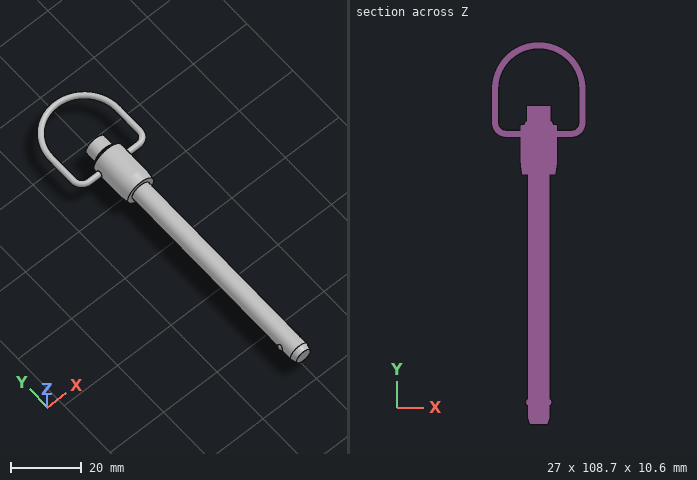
import cadquery as cq
import math

length = 108.7
ring_width = 27.0
wire_diameter = 2.2

shaft_radius = 3.3
tip_radius = 2.6
body_radius = 5.3
body_nose_radius = 4.9
collar_radius = 4.2
collar_top_radius = 3.9
button_radius = 3.6
body_edge_chamfer = 0.2

tip_length = 2.0
body_start = 70.8
nose_end = 73.7
body_end = 85.2
collar_end = 86.2
button_end = 90.5

ball_radius = 1.3
ball_reach = 3.8
ball_station = 6.4

ring_foot_station = 82.5
corner_radius = 3.2
wire_embed = 1.6


def make_pin():
    """Turned shaft, handle body and push button, revolved about Y with the tip at Y = 0."""
    profile = [
        (0, 0),
        (tip_radius, 0),
        (shaft_radius, tip_length),
        (shaft_radius, body_start),
        (body_nose_radius, body_start),
        (body_radius, nose_end),
        (body_radius, body_end - body_edge_chamfer),
        (body_radius - body_edge_chamfer, body_end),
        (collar_radius, body_end),
        (collar_top_radius, collar_end),
        (button_radius, collar_end),
        (button_radius, button_end),
        (0, button_end),
    ]
    return cq.Workplane("XY").polyline(profile).close().revolve(360, (0, 0), (0, 1))


def make_ball(side):
    """Locking ball protruding from the shaft; side is -1 or +1 along X."""
    center = (side * (ball_reach - ball_radius), ball_station, 0)
    return cq.Workplane("XY").sphere(ball_radius).translate(center)


def make_ring():
    """D-shaped wire ring whose two feet end inside the handle body."""
    wire_radius = wire_diameter / 2
    half_width = ring_width / 2 - wire_radius
    arc_station = length - wire_radius - half_width
    foot_x = body_radius - wire_embed
    corner_x = half_width - corner_radius
    corner_station = ring_foot_station + corner_radius
    diagonal = corner_radius * math.sqrt(0.5)
    corner_mid_x = corner_x + diagonal
    corner_mid_y = corner_station - diagonal

    path = (
        cq.Workplane("XY")
        .moveTo(-foot_x, ring_foot_station)
        .lineTo(-corner_x, ring_foot_station)
        .threePointArc((-corner_mid_x, corner_mid_y), (-half_width, corner_station))
        .lineTo(-half_width, arc_station)
        .threePointArc((0, arc_station + half_width), (half_width, arc_station))
        .lineTo(half_width, corner_station)
        .threePointArc((corner_mid_x, corner_mid_y), (corner_x, ring_foot_station))
        .lineTo(foot_x, ring_foot_station)
    )
    section = cq.Workplane("YZ", origin=(-foot_x, ring_foot_station, 0)).circle(wire_radius)
    return section.sweep(path)


result = make_pin().union(make_ring())
for ball_side in (-1, 1):
    result = result.union(make_ball(ball_side))

result = result.translate((0, -length / 2, 0))